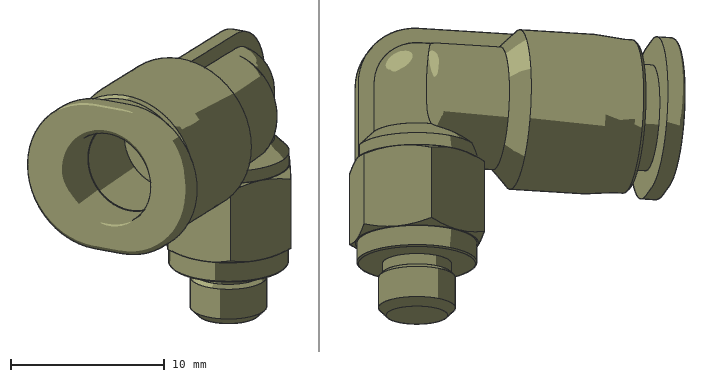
import cadquery as cq
import math


elbow_radius = 3.0
elbow_height = 1.0
elbow_end_y = -0.9
rib_width = 1.05
rib_radius = 4.0
rib_top = 4.95
rib_bend_height = rib_top - rib_radius

neck_radius = elbow_height + elbow_radius
neck_fillet = 1.0
socket_radius = 5.2
shoulder_start_y = -5.3
shoulder_end_y = shoulder_start_y - (socket_radius - neck_radius)
taper_start_y = -11.5
taper_end_y = -13.5
socket_end_y = -14.2
socket_end_radius = 5.0
socket_end_chamfer = 0.2

collet_radius = 3.45
flange_back_y = -15.4
flange_front_y = -16.6
flange_width = 12.0
flange_height = 10.0
flange_fillet = 0.3
bore_radius = 3.1
bore_step_depth = 3.1
inner_bore_radius = 3.05
bore_mouth_fillet = 0.3
bore_depth = 8.0

collar_radius = 3.95
collar_shoulder_z = -3.2
collar_cone_z = collar_shoulder_z + (collar_radius - elbow_radius)
hex_top_z = -4.02
hex_bottom_z = -9.5
hex_across_flats = 8.0
hex_chamfer_angle = 30.0
gasket_radius = 3.9
gasket_bottom_z = -10.9
gasket_chamfer = 0.1
groove_radius = 2.25
thread_top_z = -11.6
thread_radius = 2.5
thread_end_chamfer = 0.5
stem_bottom_z = -14.4


def cylinder_along_y(radius, start_y, end_y, z=0.0):
    """Cylinder running from start_y towards -Y, down to end_y."""
    workplane = cq.Workplane("XZ", origin=(0, start_y, z))
    return workplane.circle(radius).extrude(start_y - end_y)


def make_elbow():
    """Vertical tube and short horizontal tube joined by a sphere."""
    vertical = (
        cq.Workplane("XY", origin=(0, 0, hex_top_z))
        .circle(elbow_radius)
        .extrude(elbow_height - hex_top_z)
    )
    corner = cq.Workplane("XY").sphere(elbow_radius).translate((0, 0, elbow_height))
    horizontal = cylinder_along_y(elbow_radius, 0, elbow_end_y, elbow_height)
    return vertical.union(corner).union(horizontal)


def make_rib():
    """Thin web in the plane X = 0 that wraps the outside of the elbow."""
    bend_mid = rib_radius * math.sqrt(0.5)
    return (
        cq.Workplane("YZ", origin=(-rib_width / 2, 0, 0))
        .moveTo(shoulder_end_y, 0)
        .lineTo(shoulder_end_y, rib_top)
        .lineTo(0, rib_top)
        .threePointArc((bend_mid, rib_bend_height + bend_mid), (rib_radius, rib_bend_height))
        .lineTo(rib_radius, hex_top_z)
        .lineTo(0, hex_top_z)
        .lineTo(0, 0)
        .close()
        .extrude(rib_width)
    )


def make_socket():
    """Turned socket body: neck, conical shoulder, barrel and tapered mouth."""
    chamfer_start_y = socket_end_y + socket_end_chamfer
    fillet_mid = neck_fillet * math.sqrt(0.5)
    fillet_centre_radius = neck_radius - neck_fillet
    return (
        cq.Workplane("XY")
        .moveTo(0, 0)
        .lineTo(fillet_centre_radius, 0)
        .threePointArc(
            (fillet_centre_radius + fillet_mid, fillet_mid - neck_fillet),
            (neck_radius, -neck_fillet),
        )
        .lineTo(neck_radius, shoulder_start_y)
        .lineTo(socket_radius, shoulder_end_y)
        .lineTo(socket_radius, taper_start_y)
        .lineTo(socket_end_radius, taper_end_y)
        .lineTo(socket_end_radius, chamfer_start_y)
        .lineTo(socket_end_radius - socket_end_chamfer, socket_end_y)
        .lineTo(0, socket_end_y)
        .close()
        .revolve(360, (0, 0, 0), (0, 1, 0))
    )


def make_collet():
    """Release collet: a round sleeve carrying an obround flange."""
    sleeve = cylinder_along_y(collet_radius, socket_end_y, flange_back_y)
    flange = (
        cq.Workplane("XZ", origin=(0, flange_back_y, 0))
        .slot2D(flange_width, flange_height)
        .extrude(flange_back_y - flange_front_y)
        .faces("<Y")
        .edges()
        .fillet(flange_fillet)
    )
    return sleeve.union(flange)


def make_bore():
    """Blind tube bore: a rounded mouth, then a small step down to the inner bore."""
    mouth_radius = bore_radius + bore_mouth_fillet
    mouth_inner_y = flange_front_y + bore_mouth_fillet
    arc_offset = bore_mouth_fillet * math.sqrt(0.5)
    bore_step_y = flange_front_y + bore_step_depth
    bore_floor_y = flange_front_y + bore_depth
    return (
        cq.Workplane("XY")
        .moveTo(0, flange_front_y)
        .lineTo(mouth_radius, flange_front_y)
        .threePointArc(
            (mouth_radius - arc_offset, mouth_inner_y - arc_offset),
            (bore_radius, mouth_inner_y),
        )
        .lineTo(bore_radius, bore_step_y)
        .lineTo(inner_bore_radius, bore_step_y)
        .lineTo(inner_bore_radius, bore_floor_y)
        .lineTo(0, bore_floor_y)
        .close()
        .revolve(360, (0, 0, 0), (0, 1, 0))
    )


def make_stem():
    """Turned stem: collar above the hexagon, gasket and threaded end below it."""
    gasket_chamfer_z = gasket_bottom_z + gasket_chamfer
    thread_full_z = thread_top_z - (thread_radius - groove_radius)
    profile = [
        (0, collar_cone_z),
        (elbow_radius, collar_cone_z),
        (collar_radius, collar_shoulder_z),
        (collar_radius, hex_bottom_z),
        (gasket_radius, hex_bottom_z),
        (gasket_radius, gasket_chamfer_z),
        (gasket_radius - gasket_chamfer, gasket_bottom_z),
        (groove_radius, gasket_bottom_z),
        (groove_radius, thread_top_z),
        (thread_radius, thread_full_z),
        (thread_radius, stem_bottom_z + thread_end_chamfer),
        (thread_radius - thread_end_chamfer, stem_bottom_z),
        (0, stem_bottom_z),
    ]
    return cq.Workplane("XZ").polyline(profile).close().revolve(360, (0, 0, 0), (0, 1, 0))


def make_hexagon():
    """Hexagon with two flats facing +Y and -Y, its corners turned down at both ends."""
    flat_radius = hex_across_flats / 2
    corner_radius = flat_radius / math.cos(math.pi / 6)
    corner_drop = (corner_radius - flat_radius) * math.tan(math.radians(hex_chamfer_angle))
    prism = (
        cq.Workplane("XY", origin=(0, 0, hex_bottom_z))
        .polygon(6, 2 * corner_radius)
        .extrude(hex_top_z - hex_bottom_z)
    )
    turned_profile = [
        (0, hex_top_z),
        (flat_radius, hex_top_z),
        (corner_radius, hex_top_z - corner_drop),
        (corner_radius, hex_bottom_z + corner_drop),
        (flat_radius, hex_bottom_z),
        (0, hex_bottom_z),
    ]
    turned = cq.Workplane("XZ").polyline(turned_profile).close().revolve(360, (0, 0, 0), (0, 1, 0))
    return prism.intersect(turned)


result = (
    make_stem()
    .union(make_hexagon())
    .union(make_elbow())
    .union(make_socket())
    .union(make_rib())
    .union(make_collet())
    .cut(make_bore())
)